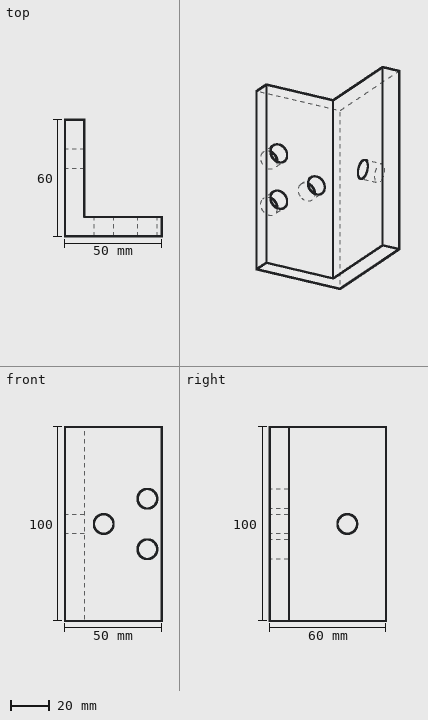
import cadquery as cq

width = 50.0
depth = 60.0
height = 100.0
thickness = 10.0

hole_diameter = 10.0
mid_height = height / 2
front_hole_x = 20.0
pair_x = 42.5
pair_spacing = 26.0
side_hole_y = 40.0


def front_hole(x, z):
    """Cylinder along Y through the front leg."""
    return cq.Workplane("XZ", origin=(x, 0, z)).circle(hole_diameter / 2).extrude(-thickness)


def side_hole(y, z):
    """Cylinder along X through the side leg."""
    return cq.Workplane("YZ", origin=(0, y, z)).circle(hole_diameter / 2).extrude(thickness)


front_leg = cq.Workplane("XY").box(width, thickness, height, centered=False)
side_leg = cq.Workplane("XY").box(thickness, depth, height, centered=False)
bracket = front_leg.union(side_leg)

bracket = bracket.cut(front_hole(front_hole_x, mid_height))
for offset in (-pair_spacing / 2, pair_spacing / 2):
    bracket = bracket.cut(front_hole(pair_x, mid_height + offset))

result = bracket.cut(side_hole(side_hole_y, mid_height))